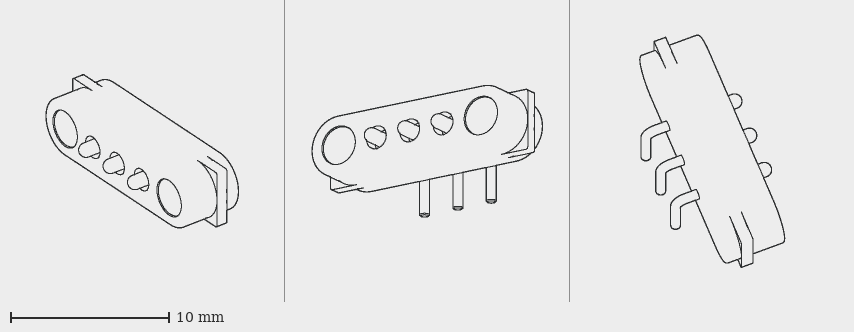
import cadquery as cq

body_length = 15.0
body_height = 4.0
body_depth = 4.0
body_edge_radius = 0.15

flange_thickness = 0.8
flange_rear_offset = 1.0
flange_corner_radius = 0.15

magnet_diameter = 2.5
magnet_pocket_diameter = 2.54
magnet_pocket_depth = 2.0
magnet_edge_radius = 0.2
magnet_offset = 5.4

pin_pitch = 2.54
pin_diameter = 0.95
pin_projection = 1.0
well_diameter = 1.5
well_depth = 1.0

leg_diameter = 0.65
leg_reach = 1.83
leg_drop = 3.72
leg_bend_radius = 0.68
leg_tip_chamfer = 0.08

pin_positions = [(i * pin_pitch, 0) for i in (-1, 0, 1)]
magnet_positions = [(-magnet_offset, 0), (magnet_offset, 0)]


def front_plane(y):
    """Plane at depth y with local x along +X, local y along +Z, normal along -Y."""
    return cq.Workplane("XZ", origin=(0, y, 0))


def make_housing():
    block = front_plane(0).slot2D(body_length, body_height).extrude(-body_depth)
    block = block.faces("<Y or >Y").edges().fillet(body_edge_radius)
    flange = (
        front_plane(body_depth - flange_rear_offset)
        .rect(body_length, body_height)
        .extrude(flange_thickness)
        .edges("|Y")
        .fillet(flange_corner_radius)
    )
    return block.union(flange)


def make_magnet(position):
    return (
        front_plane(0)
        .center(*position)
        .circle(magnet_diameter / 2)
        .extrude(-magnet_pocket_depth)
        .faces("<Y")
        .edges()
        .fillet(magnet_edge_radius)
    )


def make_pin(x):
    """Round pin with a hemispherical tip, standing on the floor of its well."""
    radius = pin_diameter / 2
    shoulder_y = radius - pin_projection
    shank = front_plane(well_depth).center(x, 0).circle(radius).extrude(well_depth - shoulder_y)
    tip = cq.Workplane("XY", origin=(x, shoulder_y, 0)).sphere(radius)
    return shank.union(tip)


def make_leg(x):
    """Round wire leaving the rear face and bending down."""
    axis_y = body_depth + leg_reach - leg_diameter / 2
    bend_start_y = axis_y - leg_bend_radius
    path = (
        cq.Workplane("YZ", origin=(x, 0, 0))
        .moveTo(body_depth, 0)
        .lineTo(bend_start_y, 0)
        .tangentArcPoint((axis_y, -leg_bend_radius), relative=False)
        .lineTo(axis_y, -leg_drop)
    )
    leg = front_plane(body_depth).center(x, 0).circle(leg_diameter / 2).sweep(path)
    return leg.faces("<Z").edges().chamfer(leg_tip_chamfer)


housing = make_housing()
pockets = (
    front_plane(0)
    .pushPoints(magnet_positions)
    .circle(magnet_pocket_diameter / 2)
    .extrude(-magnet_pocket_depth)
)
wells = front_plane(0).pushPoints(pin_positions).circle(well_diameter / 2).extrude(-well_depth)
result = housing.cut(pockets).cut(wells)

for magnet_position in magnet_positions:
    result = result.union(make_magnet(magnet_position))

for pin_x, _ in pin_positions:
    result = result.union(make_pin(pin_x)).union(make_leg(pin_x))

result = result.translate((0, (pin_projection - body_depth - leg_reach) / 2, 0))